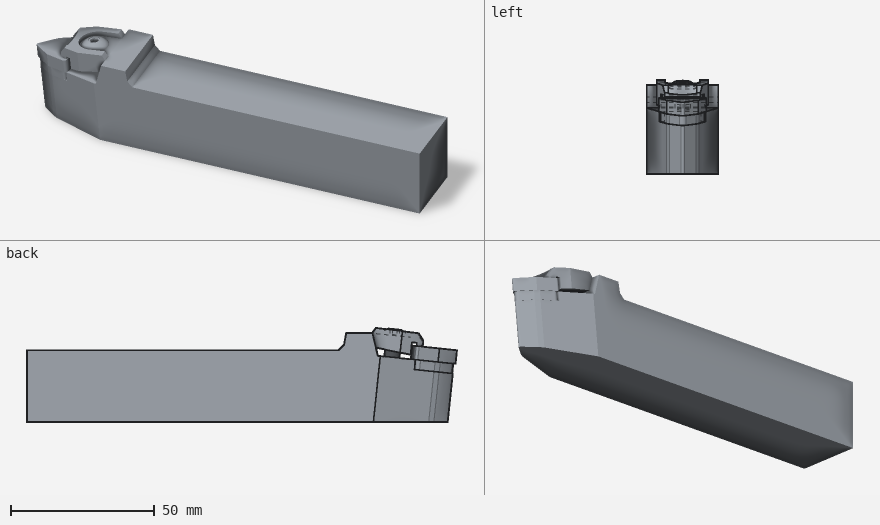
import cadquery as cq
import math


length = 149.5
width = 25.0
shank_height = 25.0
head_height = 31.0
head_front_top_x = 29.5
head_front_foot_x = 27.5
head_back_top_x = 38.6
head_back_foot_x = 39.3
head_back_foot_z = 26.9
head_chamfer_end_x = 41.3
pitch = 6.0

insert_radius = 6.3
insert_nose_radius = 0.8
insert_thickness = 4.8
nose_half_angle = 40.0
flank_angle = 20.0
blunt_half_angle = 80.0

insert_overhang = 0.25
shim_overhang = 0.1
shim_radius = insert_radius - insert_overhang
holder_radius = shim_radius - shim_overhang
shim_nose_radius = 1.5
shim_thickness = 3.5
holder_nose_radius = 0.85
seat_lead = 1.5
bevel_run = 1.0

clamp_width = 18.0
clamp_tip_u = 12.0
clamp_tip_w = 2.1
clamp_brow_u = 13.9
clamp_brow_w = 4.5
clamp_crest_w = 4.8
clamp_back_u = 28.9
clamp_back_chamfer_run = 1.2
clamp_back_chamfer_drop = 2.0
clamp_heel_u = 28.3
clamp_heel_w = -2.1
clamp_leg_w = -3.3
leg_clearance = 0.1
lip_end_u = 14.2
lip_chamfer = 0.6
lip_relief_w = 1.0
clamp_taper_u = 19.6
groove_radius = 44.9
groove_width = 9.9
groove_low_u = 12.7
groove_low_w = 2.2
groove_high_u = 14.7
groove_high_w = 4.5

screw_u = 22.3
screw_diameter = 5.4
screw_head_diameter = 10.0
screw_dome_height = 2.5
screw_recess_width = 12.1
screw_recess_offset = 0.6
screw_recess_w = 2.8
socket_entry_diameter = 4.2
socket_entry_depth = 0.7
socket_diameter = 3.3
socket_depth = 2.2


def sine(angle):
    return math.sin(math.radians(angle))


def cosine(angle):
    return math.cos(math.radians(angle))


def tangent(angle):
    return math.tan(math.radians(angle))


def nose_tip_distance(radius, nose_radius):
    """Distance from the centre of a trigon to the tip of its rounded nose."""
    return (radius - nose_radius) / sine(nose_half_angle) + nose_radius


centre_u = nose_tip_distance(insert_radius, insert_nose_radius)
insert_back_u = centre_u + insert_radius / sine(blunt_half_angle)
seat_w = -insert_thickness
shim_floor_w = seat_w - shim_thickness
deep = 3 * shank_height


def polar(distance, angle, start=(0, 0)):
    return (start[0] + distance * cosine(angle), start[1] + distance * sine(angle))


def to_world(shape):
    """Move a body from the seat frame to its place in the tool."""
    return shape.rotate((0, 0, 0), (0, 1, 0), -pitch).translate((0, 0, shank_height))


def seat_to_world(u, w):
    """World x and z of a point in the seat frame."""
    x = u * cosine(pitch) - w * sine(pitch)
    z = u * sine(pitch) + w * cosine(pitch) + shank_height
    return (x, z)


def trigon(radius, nose_radius, bottom_w, thickness):
    """Trigon prism about the insert centre, with rounded (or, for zero, sharp) noses."""
    outline = cq.Workplane("XY", origin=(centre_u, 0, bottom_w))
    nose_distance = (radius - nose_radius) / sine(nose_half_angle)
    blunt_distance = radius / sine(blunt_half_angle)
    outline = outline.moveTo(*polar(blunt_distance, 0))
    for nose_angle in (60, 180, 300):
        nose_centre = polar(nose_distance, nose_angle)
        if nose_radius > 0:
            half_arc = 90 - nose_half_angle
            outline = outline.lineTo(*polar(nose_radius, nose_angle - half_arc, nose_centre))
            outline = outline.threePointArc(
                polar(nose_radius, nose_angle, nose_centre),
                polar(nose_radius, nose_angle + half_arc, nose_centre),
            )
        else:
            outline = outline.lineTo(*nose_centre)
        if nose_angle < 300:
            outline = outline.lineTo(*polar(blunt_distance, nose_angle + 60))
    return outline.close().extrude(thickness)


def head_outline_prism(radius):
    """Plan shape of the head: rounded nose, two flats, bevelled corners and long flanks."""
    nose_centre = (centre_u - (radius - holder_nose_radius) / sine(nose_half_angle), 0)
    blunt_angle = 120
    blunt_corner = polar(radius / sine(blunt_half_angle), blunt_angle, (centre_u, 0))
    bevel_start_u, bevel_start_v = polar(-bevel_run, nose_half_angle, blunt_corner)
    bevel_end_u, bevel_end_v = polar(bevel_run, flank_angle, blunt_corner)
    flank_end_u = bevel_end_u + (width / 2 - bevel_end_v) / tangent(flank_angle)
    tangent_angle = 90 + nose_half_angle
    upper_tangent = polar(holder_nose_radius, tangent_angle, nose_centre)
    lower_tangent = polar(holder_nose_radius, -tangent_angle, nose_centre)
    nose_tip = polar(holder_nose_radius, 180, nose_centre)
    far_u = 2 * length
    return (
        cq.Workplane("XY", origin=(0, 0, -deep))
        .moveTo(*lower_tangent)
        .threePointArc(nose_tip, upper_tangent)
        .lineTo(bevel_start_u, bevel_start_v)
        .lineTo(bevel_end_u, bevel_end_v)
        .lineTo(flank_end_u, width / 2)
        .lineTo(far_u, width / 2)
        .lineTo(far_u, -width / 2)
        .lineTo(flank_end_u, -width / 2)
        .lineTo(bevel_end_u, -bevel_end_v)
        .lineTo(bevel_start_u, -bevel_start_v)
        .close()
        .extrude(2 * deep)
    )


def holder_blank():
    """Shank, head block and seat plane as one side profile across the full width."""
    seat_front = seat_to_world(-seat_lead, seat_w)
    seat_rear_z = seat_front[1] + (head_front_foot_x - seat_front[0]) * tangent(pitch)
    profile = [
        (seat_front[0], 0),
        seat_front,
        (head_front_foot_x, seat_rear_z),
        (head_front_top_x, head_height),
        (head_back_top_x, head_height),
        (head_back_foot_x, head_back_foot_z),
        (head_chamfer_end_x, shank_height),
        (length, shank_height),
        (length, 0),
    ]
    return cq.Workplane("XZ").polyline(profile).close().extrude(width / 2, both=True)


def shim():
    plate = trigon(shim_radius, shim_nose_radius, shim_floor_w, shim_thickness)
    return plate.intersect(head_outline_prism(shim_radius))


def shim_pocket():
    return trigon(shim_radius, 0, shim_floor_w, shim_thickness)


def clamp():
    """Clamp in the seat frame, reaching back into the head block."""
    leg_u = insert_back_u + leg_clearance
    rear_u = clamp_back_u + clamp_back_chamfer_run
    rear_w = clamp_crest_w - clamp_back_chamfer_drop
    profile = [
        (clamp_tip_u + lip_chamfer, 0),
        (clamp_tip_u, lip_chamfer),
        (clamp_tip_u, clamp_tip_w),
        (clamp_brow_u, clamp_brow_w),
        (clamp_back_u, clamp_crest_w),
        (rear_u, rear_w),
        (clamp_heel_u, clamp_heel_w),
        (leg_u, clamp_leg_w),
        (leg_u, lip_relief_w),
        (lip_end_u, lip_relief_w),
        (lip_end_u, 0),
    ]
    body = cq.Workplane("XZ").polyline(profile).close().extrude(clamp_width / 2, both=True)
    return body.intersect(clamp_taper_prism()).cut(brow_groove()).cut(screw_recess())


def clamp_taper_prism():
    half = clamp_width / 2
    tip_half = half - clamp_taper_u * tangent(flank_angle)
    far_u = 2 * clamp_back_u
    outline = [
        (0, -tip_half),
        (0, tip_half),
        (clamp_taper_u, half),
        (far_u, half),
        (far_u, -half),
        (clamp_taper_u, -half),
    ]
    return cq.Workplane("XY", origin=(0, 0, -deep)).polyline(outline).close().extrude(2 * deep)


def brow_groove():
    """Shallow hollow of limited width that runs down the sloping front face of the clamp."""
    slope = (groove_high_u - groove_low_u, 0, groove_high_w - groove_low_w)
    slope_length = math.hypot(slope[0], slope[2])
    axis_u = groove_low_u - groove_radius * slope[2] / slope_length
    axis_w = groove_low_w + groove_radius * slope[0] / slope_length
    plane = cq.Plane(origin=(axis_u, 0, axis_w), xDir=(0, 1, 0), normal=slope)
    cylinder = cq.Workplane(plane).circle(groove_radius).extrude(deep, both=True)
    return cylinder.intersect(cq.Workplane("XY").box(2 * deep, groove_width, 2 * deep))


def screw_recess():
    """Round-ended recess for the screw head, open towards the head block."""
    floor = cq.Workplane("XY", origin=(screw_u + screw_recess_offset, 0, screw_recess_w))
    round_end = floor.circle(screw_recess_width / 2).extrude(deep)
    channel = floor.rect(deep, screw_recess_width).extrude(deep)
    channel = channel.translate((deep / 2, 0, 0))
    return round_end.union(channel)


def clamp_screw():
    """Domed screw standing on the seat plane."""
    head_radius = screw_head_diameter / 2
    dome_radius = (head_radius ** 2 + screw_dome_height ** 2) / (2 * screw_dome_height)
    apex_w = screw_recess_w + screw_dome_height
    shaft = (
        cq.Workplane("XY", origin=(screw_u, 0, seat_w))
        .circle(screw_diameter / 2)
        .extrude(screw_recess_w - seat_w)
    )
    head = (
        cq.Workplane("XY", origin=(screw_u, 0, screw_recess_w))
        .circle(head_radius)
        .extrude(screw_dome_height)
    )
    ball = cq.Workplane("XY", origin=(screw_u, 0, apex_w - dome_radius)).sphere(dome_radius)
    return shaft.union(head.intersect(ball))


def screw_socket():
    """Hexagon socket with a round entry, cut down from the top of the dome."""
    mouth = cq.Workplane("XY", origin=(screw_u, 0, screw_recess_w + screw_dome_height))
    entry = mouth.circle(socket_entry_diameter / 2).extrude(-socket_entry_depth)
    return entry.union(mouth.polygon(6, socket_diameter).extrude(-socket_depth))


def tool_holder():
    """Shank with its seat, shim, clamp and screw as one solid."""
    body = holder_blank().intersect(to_world(head_outline_prism(holder_radius)))
    body = body.cut(to_world(shim_pocket())).union(to_world(shim()))
    body = body.union(to_world(clamp())).union(to_world(clamp_screw()))
    return body.cut(to_world(screw_socket())).solids()


def cutting_insert():
    prism = trigon(insert_radius, insert_nose_radius, seat_w, insert_thickness)
    return to_world(prism).solids()


holder = tool_holder()
insert = cutting_insert()
result = cq.Compound.makeCompound([holder.val(), insert.val()])